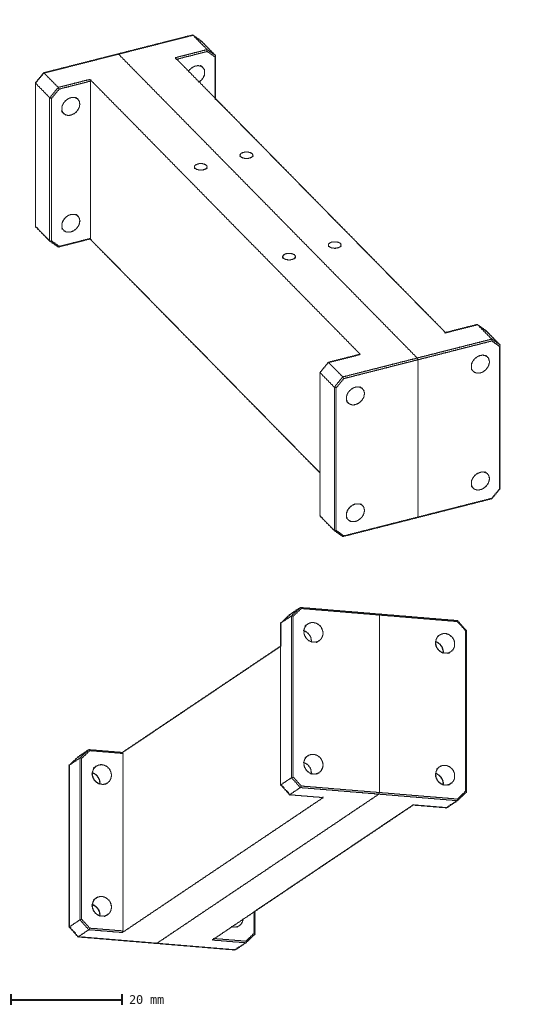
import cadquery as cq
import math

length = 120.6
flange_side = 33.3
flange_thickness = 6.3
flange_corner_chamfer = 1.7
flange_rim_chamfer = 0.2
web_half_thickness = 8.6

flange_hole_diameter = 3.6
flange_hole_y = 12.5
flange_hole_z = 12.2

top_hole_diameter = 2.3
top_hole_depth = 6.0
drill_point_angle = 118.0
top_hole_x = 17.7
top_hole_y = 4.6

half_length = length / 2
half_side = flange_side / 2
web_length = length - flange_thickness


def flange_half(side):
    """Half of a flange plate with chamfered corners and rims, centered on X = 0."""
    plate = cq.Workplane("XY").box(flange_thickness, flange_side, flange_side)
    plate = plate.edges("|X").chamfer(flange_corner_chamfer)
    plate = plate.faces("<X or >X").chamfer(flange_rim_chamfer)
    kept_side = cq.Workplane("XY").box(flange_thickness, half_side, flange_side)
    return plate.intersect(kept_side.translate((0, side * half_side / 2, 0)))


def web_half(side):
    """Plain slab between the split plane and the side wall, joining the flanges."""
    slab = cq.Workplane("XY").box(web_length, web_half_thickness, flange_side)
    return slab.translate((0, side * web_half_thickness / 2, 0))


def flange_hole_cutters(side):
    """Rods along X that pass through both flanges."""
    centers = [(side * flange_hole_y, z) for z in (-flange_hole_z, flange_hole_z)]
    rods = cq.Workplane("YZ").workplane(offset=-half_length).pushPoints(centers)
    return rods.circle(flange_hole_diameter / 2).extrude(length)


def top_hole_cutter(x, y):
    """Drill shape with a conical point, open at the top face."""
    radius = top_hole_diameter / 2
    shoulder_z = half_side - top_hole_depth
    point_length = radius / math.tan(math.radians(drill_point_angle / 2))
    profile = [
        (0, half_side),
        (radius, half_side),
        (radius, shoulder_z),
        (0, shoulder_z - point_length),
    ]
    drill = cq.Workplane("XZ").polyline(profile).close().revolve(360, (0, 0, 0), (0, 1, 0))
    return drill.translate((x, y, 0))


def housing_half(side):
    """One complete half; side is +1 for the +Y half and -1 for the -Y half."""
    half = web_half(side)
    for end in (-1, 1):
        flange_x = end * (half_length - flange_thickness / 2)
        half = half.union(flange_half(side).translate((flange_x, 0, 0)))
    half = half.cut(flange_hole_cutters(side))
    for x in (-top_hole_x, top_hole_x):
        half = half.cut(top_hole_cutter(x, side * top_hole_y))
    return half


housing_halves = [housing_half(side) for side in (-1, 1)]

result = cq.Compound.makeCompound([half.solids().val() for half in housing_halves])